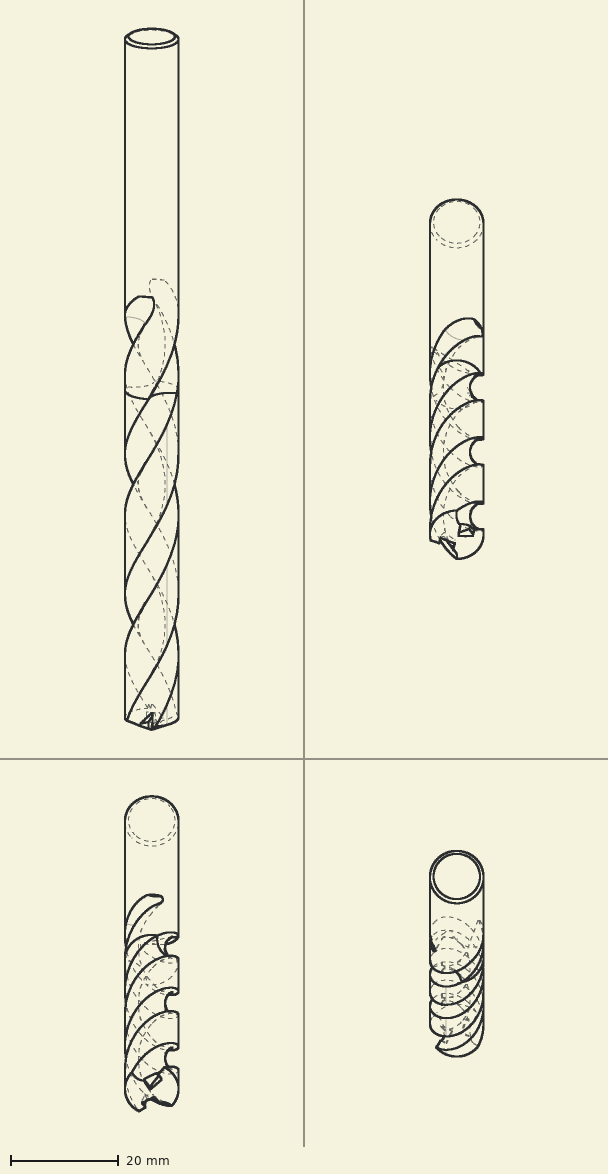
import cadquery as cq
import math

length = 137
diameter = 10.0
radius = diameter / 2
joint_z = 67.1
chamfer_width = 0.7
chamfer_height = 0.5
point_height = 2.5

flute_count = 2
flute_pitch = 55.3
flute_top = 81.5
flute_half_angle = 38
web_radius = 2.5
runout_height = 5.8
runout_shift = 5.8

notch_wall_y = -0.8
notch_inner_x = 0.1
notch_inner_z = 1.8
notch_peak_x = 2.2
notch_peak_z = 4.2
notch_outer_x = 2.9
notch_outer_z = 2.5

half_chord = radius * math.sin(math.radians(flute_half_angle))
flute_sag = radius * math.cos(math.radians(flute_half_angle)) - web_radius
flute_radius = (half_chord**2 + flute_sag**2) / (2 * flute_sag)
flute_offset = web_radius + flute_radius


def make_blank():
    """Full-length round bar with a conical point and a chamfered top."""
    half_section = [
        (0, 0),
        (radius, point_height),
        (radius, length - chamfer_height),
        (radius - chamfer_width, length),
        (0, length),
    ]
    return cq.Workplane("XZ").polyline(half_section).close().revolve(360, (0, 0), (0, 1))


def make_helix(turn):
    """Right-handed helical flute cutter that reaches angle `turn` at the flute top."""
    helix_turn = 360 * flute_top / flute_pitch
    cutter = (
        cq.Workplane("XY")
        .moveTo(0, -flute_offset)
        .circle(flute_radius)
        .twistExtrude(flute_top, helix_turn)
    )
    return cutter.rotate((0, 0, 0), (0, 0, 1), turn - helix_turn)


def make_runout(turn):
    """Slanted round cutter that carries a flute sideways out of the bar."""
    cutter = (
        cq.Workplane("XY", origin=(0, 0, flute_top))
        .moveTo(0, -flute_offset)
        .circle(flute_radius)
        .workplane(offset=runout_height)
        .moveTo(runout_shift, -flute_offset)
        .circle(flute_radius)
        .loft(ruled=True)
    )
    return cutter.rotate((0, 0, 0), (0, 0, 1), turn)


def make_notch(turn):
    """Peaked cutter that thins the web next to one cutting lip."""
    outline = [
        (notch_inner_x, 0),
        (notch_inner_x, notch_inner_z),
        (notch_peak_x, notch_peak_z),
        (notch_outer_x, notch_outer_z),
        (notch_outer_x, 0),
    ]
    cutter = (
        cq.Workplane("XZ", origin=(0, notch_wall_y, 0))
        .polyline(outline)
        .close()
        .extrude(radius)
    )
    return cutter.rotate((0, 0, 0), (0, 0, 1), turn)


def make_slab(bottom, top):
    """Block wider than the drill, used to keep one stretch of its length."""
    return cq.Workplane("XY", origin=(0, 0, bottom)).rect(length, length).extrude(top - bottom)


fluted_bar = make_blank()
for index in range(flute_count):
    flute_turn = 360 * index / flute_count
    fluted_bar = fluted_bar.cut(make_helix(flute_turn))
    fluted_bar = fluted_bar.cut(make_runout(flute_turn))
    fluted_bar = fluted_bar.cut(make_notch(flute_turn))

cutting_end = fluted_bar.intersect(make_slab(0, joint_z))

shank = fluted_bar.intersect(make_slab(joint_z, length))

result = cq.Compound.makeCompound([cutting_end.solids().val(), shank.solids().val()])